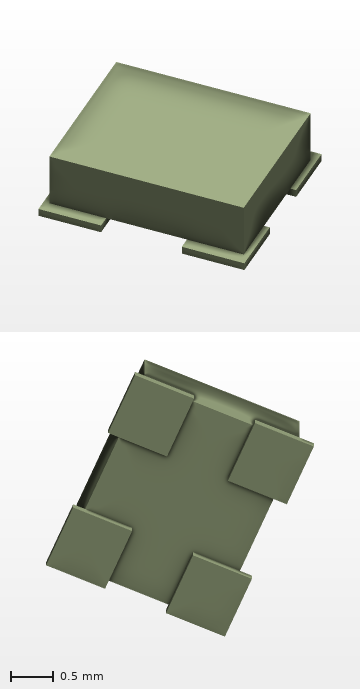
import cadquery as cq

footprint_length = 2.66
footprint_width = 2.31
total_height = 0.8

pad_length = 0.809
pad_width = 0.76
pad_thickness = 0.1

housing_length = 2.51
housing_width = 2.0
housing_height = total_height - pad_thickness

pad_offset_x = (footprint_length - pad_length) / 2
pad_offset_y = (footprint_width - pad_width) / 2


def make_housing():
    """Plain block whose underside rests on the pad tops."""
    return (
        cq.Workplane("XY")
        .workplane(offset=pad_thickness)
        .rect(housing_length, housing_width)
        .extrude(housing_height)
    )


def make_pad(center_x, center_y):
    """Flat rectangular pad with its underside at Z = 0."""
    return (
        cq.Workplane("XY")
        .center(center_x, center_y)
        .rect(pad_length, pad_width)
        .extrude(pad_thickness)
    )


housing = make_housing()

pads = []
for side_x in (-1, 1):
    for side_y in (-1, 1):
        pad = make_pad(side_x * pad_offset_x, side_y * pad_offset_y)
        pads.append(pad.val())

result = cq.Compound.makeCompound([housing.val(), *pads])